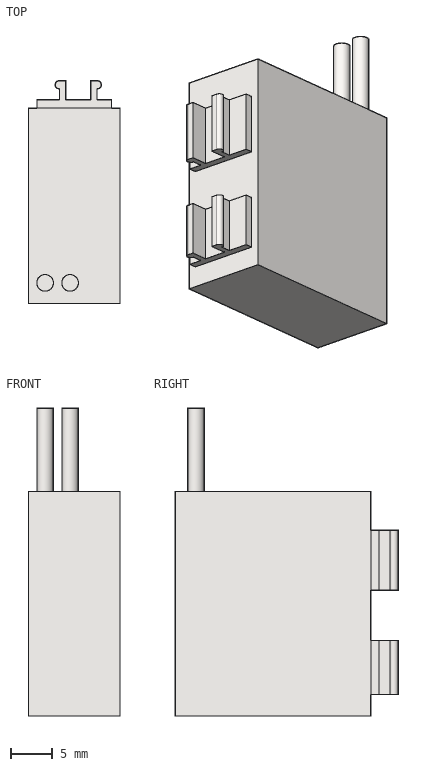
import cadquery as cq

body_width = 11.0
body_depth = 23.5
body_height = 27.0

pin_diameter = 2.0
pin_length = 10.0
pin_pitch = 3.0
first_pin_x = 2.0
pin_y = 2.5
pin_count = 2

clip_reach = 3.3
clip_base_width = 9.0
clip_base_thickness = 1.0
arm_gap = 3.0
arm_thickness = 0.78
arm_gap_center_x = 5.98
bead_radius = 0.5
lower_clip_bottom = 2.6
lower_clip_length = 6.5
upper_clip_bottom = 15.1
upper_clip_length = 7.25


def make_body():
    return cq.Workplane("XY").box(body_width, body_depth, body_height, centered=False)


def make_pin(x):
    return (
        cq.Workplane("XY", origin=(x, pin_y, body_height))
        .circle(pin_diameter / 2)
        .extrude(pin_length)
    )


def make_arm(side, bottom, length):
    """One clip arm with a rounded outward bead; side is -1 for the left arm, 1 for the right."""
    inner_x = arm_gap_center_x + side * arm_gap / 2
    outer_x = inner_x + side * arm_thickness
    root_y = body_depth + clip_base_thickness
    tip_y = body_depth + clip_reach
    bead_center_y = tip_y - bead_radius
    return (
        cq.Workplane("XY", origin=(0, 0, bottom))
        .moveTo(inner_x, root_y)
        .lineTo(inner_x, tip_y)
        .lineTo(outer_x, tip_y)
        .threePointArc(
            (outer_x + side * bead_radius, bead_center_y),
            (outer_x, bead_center_y - bead_radius),
        )
        .lineTo(outer_x, root_y)
        .close()
        .extrude(length)
    )


def make_clip(bottom, length):
    base_x = (body_width - clip_base_width) / 2
    clip = cq.Workplane("XY", origin=(base_x, body_depth, bottom)).box(
        clip_base_width, clip_base_thickness, length, centered=False
    )
    for side in (-1, 1):
        clip = clip.union(make_arm(side, bottom, length))
    return clip


result = make_body()
for i in range(pin_count):
    result = result.union(make_pin(first_pin_x + i * pin_pitch))
result = result.union(make_clip(lower_clip_bottom, lower_clip_length))
result = result.union(make_clip(upper_clip_bottom, upper_clip_length))